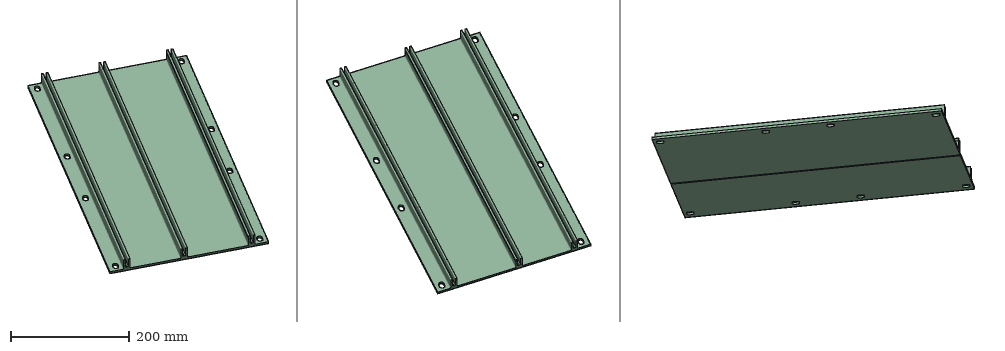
import cadquery as cq
import math

LENGTH = 500.0
WIDTH = 279.5
HEIGHT = 25.2
PLATE_THICKNESS = 4.45

OUTER_RAIL_Y = 110.0
MIDDLE_RAIL_Y = -9.0
RAIL_CENTERS = (-OUTER_RAIL_Y, MIDDLE_RAIL_Y, OUTER_RAIL_Y)
RAIL_HALF_WIDTH = 5.75
CHANNEL_HALF_WIDTH = 2.65
CHANNEL_WALL_BOTTOM = 9.15
CHANNEL_FLOOR_SLOPE = math.radians(30)
CHANNEL_APEX = CHANNEL_WALL_BOTTOM - CHANNEL_HALF_WIDTH * math.tan(CHANNEL_FLOOR_SLOPE)
FOOT_FILLET = 2.0
TIP_FILLET = 0.5

GROOVE_CENTER_Z = 20.83
GROOVE_HALF_HEIGHT = 1.53
GROOVE_APEX_Z = GROOVE_CENTER_Z - 0.79
GROOVE_DEPTH = 0.47

UNDERSIDE_GROOVE_Y = -19.1
UNDERSIDE_GROOVE_WIDTH = 2.0
UNDERSIDE_GROOVE_DEPTH = 0.5

SLOT_LENGTH = 13.0
SLOT_WIDTH = 9.2
SLOT_INNER_X = 56.0
SLOT_OUTER_X = 238.1
SLOT_ROWS_Y = (-126.5, 127.5)

ARC_MIDDLE = 1 - math.sqrt(0.5)


def extrude_along_panel(outline):
    """Extrude a closed YZ outline over the full panel length, centred on X = 0."""
    return outline.close().extrude(LENGTH / 2, both=True)


def add_fin_tip(outline, left, right):
    """Continue the outline up one fin wall, over its rounded tip and to the other wall."""
    shoulder = HEIGHT - TIP_FILLET
    middle = TIP_FILLET * ARC_MIDDLE
    outline = outline.lineTo(left, shoulder)
    outline = outline.threePointArc((left + middle, HEIGHT - middle), (left + TIP_FILLET, HEIGHT))
    outline = outline.lineTo(right - TIP_FILLET, HEIGHT)
    return outline.threePointArc((right - middle, HEIGHT - middle), (right, shoulder))


def add_rail(outline, center):
    """Continue the outline over one rail: foot, fin, V-floored channel, fin, foot."""
    left = center - RAIL_HALF_WIDTH
    right = center + RAIL_HALF_WIDTH
    channel_left = center - CHANNEL_HALF_WIDTH
    channel_right = center + CHANNEL_HALF_WIDTH
    foot_top = PLATE_THICKNESS + FOOT_FILLET
    middle = FOOT_FILLET * ARC_MIDDLE
    foot_middle_z = PLATE_THICKNESS + middle

    outline = outline.lineTo(left - FOOT_FILLET, PLATE_THICKNESS)
    outline = outline.threePointArc((left - middle, foot_middle_z), (left, foot_top))
    outline = add_fin_tip(outline, left, channel_left)
    outline = outline.lineTo(channel_left, CHANNEL_WALL_BOTTOM)
    outline = outline.lineTo(center, CHANNEL_APEX)
    outline = outline.lineTo(channel_right, CHANNEL_WALL_BOTTOM)
    outline = add_fin_tip(outline, channel_right, right)
    outline = outline.lineTo(right, foot_top)
    return outline.threePointArc((right + middle, foot_middle_z), (right + FOOT_FILLET, PLATE_THICKNESS))


def panel_profile():
    """The plate with its three rails."""
    outline = cq.Workplane("YZ").moveTo(-WIDTH / 2, 0).lineTo(-WIDTH / 2, PLATE_THICKNESS)
    for center in RAIL_CENTERS:
        outline = add_rail(outline, center)
    outline = outline.lineTo(WIDTH / 2, PLATE_THICKNESS).lineTo(WIDTH / 2, 0)
    return extrude_along_panel(outline)


def fin_groove(face_y, inward):
    """Cutter for a V groove in a fin face; inward is the Y direction into the fin."""
    outline = cq.Workplane("YZ").moveTo(face_y, GROOVE_CENTER_Z - GROOVE_HALF_HEIGHT)
    outline = outline.lineTo(face_y + inward * GROOVE_DEPTH, GROOVE_APEX_Z)
    outline = outline.lineTo(face_y, GROOVE_CENTER_Z + GROOVE_HALF_HEIGHT)
    return extrude_along_panel(outline)


def underside_groove():
    """Cutter for the shallow groove along the bottom face."""
    cutter = cq.Workplane("XY").box(
        LENGTH, UNDERSIDE_GROOVE_WIDTH, UNDERSIDE_GROOVE_DEPTH, centered=(True, True, False)
    )
    return cutter.translate((0, UNDERSIDE_GROOVE_Y, 0))


def mounting_slots():
    """Cutters for the slots through both side flanges."""
    columns = (-SLOT_OUTER_X, -SLOT_INNER_X, SLOT_INNER_X, SLOT_OUTER_X)
    places = [(x, y) for x in columns for y in SLOT_ROWS_Y]
    return cq.Workplane("XY").pushPoints(places).slot2D(SLOT_LENGTH, SLOT_WIDTH).extrude(PLATE_THICKNESS)


panel = panel_profile()
panel = panel.cut(fin_groove(OUTER_RAIL_Y - RAIL_HALF_WIDTH, 1))
panel = panel.cut(fin_groove(MIDDLE_RAIL_Y + RAIL_HALF_WIDTH, -1))
panel = panel.cut(underside_groove())
panel = panel.cut(mounting_slots())

result = cq.Compound.makeCompound([panel.val()])